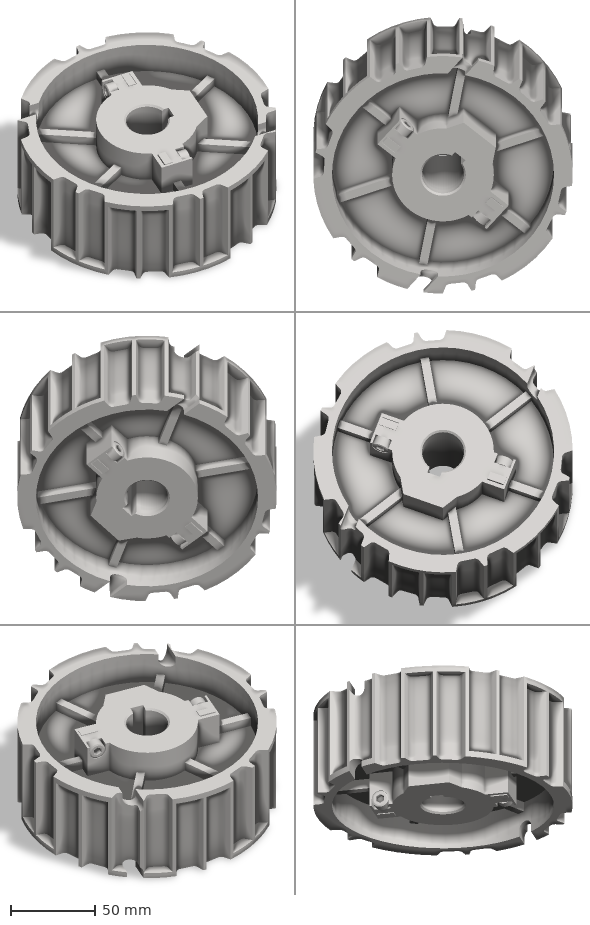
import cadquery as cq
import math


outer_radius = 77.1
rim_inner_radius = 66.0
height = 58.0
web_thickness = 16.0
rib_width = 5.1
rib_height = 6.0
rib_count = 6

hub_radius = 30.2
ear_reach = 42.5
ear_width = 20.0
flat_y = 33.8
flat_half_width = 12.5
flat_flank_angle = 60.0
bore_radius = 12.5
bore_chamfer = 1.1
key_width = 8.0
key_top_y = 15.9

tooth_count = 25
gap_floor_radius = 70.8
gap_floor_half_width = 5.9
gap_leading_half_width = 8.8
gap_trailing_half_width = 8.3
gap_fillet = 3.1
flange_thickness = 3.7
through_gap = 6

screw_x = 36.1
screw_depth = 4.3
head_radius = 5.1
head_length = 6.0
head_chamfer_width = 1.0
head_chamfer_length = 0.5
shank_radius = 3.0
socket_across_flats = 4.8
socket_depth = 3.0
nut_width = 10.2
nut_protrusion = 0.5
nut_thickness = 4.8
nut_inner_y = 2.5
nut_end_clearance = 0.5
access_radius = 4.3

beyond = 7.7
half_height = height / 2
screw_z = half_height - screw_depth
head_outer_y = ear_width / 2
head_inner_y = head_outer_y - head_length
nut_outer_y = nut_inner_y + nut_thickness
nut_height = 2 * (screw_depth + nut_protrusion)
access_inner_y = rim_inner_radius - 2 * beyond
tooth_pitch = 360.0 / tooth_count


def box(x_range, y_range, z_range):
    """Box between the given limits along each axis."""
    sizes = [high - low for low, high in (x_range, y_range, z_range)]
    corner = (x_range[0], y_range[0], z_range[0])
    return cq.Workplane("XY").box(*sizes, centered=False).translate(corner)


def along_y(radius, y_start, y_end):
    """Cylinder on the screw axis, between two Y positions."""
    plane = cq.Workplane("XZ", origin=(-screw_x, y_start, screw_z))
    return plane.circle(radius).extrude(y_start - y_end)


def channel(radius, y_start, y_end):
    """U-shaped cutter with its round bottom on the screw axis, open upwards."""
    sides = box(
        (-screw_x - radius, -screw_x + radius),
        (y_start, y_end),
        (screw_z, half_height + beyond),
    )
    return along_y(radius, y_start, y_end).union(sides)


def four_places(shape):
    """The shape at the upper -X place, and its copies below and on the +X ear."""
    places = []
    for copy in (shape, shape.mirror("XY")):
        places.append(copy)
        places.append(copy.rotate((0, 0, 0), (0, 0, 1), 180))
    return places


def disc(radius, thickness):
    """Disc on the wheel axis, centred on Z = 0."""
    return cq.Workplane("XY", origin=(0, 0, -thickness / 2)).circle(radius).extrude(thickness)


def hub_blank():
    """Round hub with a flat-topped bulge on +Y and an ear on each side."""
    hub = disc(hub_radius, height)
    ears = cq.Workplane("XY").box(2 * ear_reach, ear_width, height)
    flank_run = flat_y / math.tan(math.radians(flat_flank_angle))
    bulge_base = flat_half_width + flank_run
    tilt = math.radians(90 - flat_flank_angle)
    flank_distance = bulge_base * math.cos(tilt)
    meeting_angle = tilt + math.acos(flank_distance / hub_radius)
    meeting_x = hub_radius * math.cos(meeting_angle)
    meeting_y = hub_radius * math.sin(meeting_angle)
    bulge = (
        cq.Workplane("XY", origin=(0, 0, -half_height))
        .polyline([
            (-meeting_x, meeting_y),
            (-flat_half_width, flat_y),
            (flat_half_width, flat_y),
            (meeting_x, meeting_y),
            (0, 0),
        ])
        .close()
        .extrude(height)
    )
    return hub.union(ears).union(bulge)


def wheel_blank():
    """Rim, web, radial ribs and hub before any cuts."""
    recess = disc(rim_inner_radius, height).cut(disc(rim_inner_radius, web_thickness))
    wheel = disc(outer_radius, height).cut(recess).union(hub_blank())
    rib_top = web_thickness / 2 + rib_height
    for index in range(rib_count):
        rib = box((0, gap_floor_radius), (-rib_width / 2, rib_width / 2), (-rib_top, rib_top))
        wheel = wheel.union(rib.rotate((0, 0, 0), (0, 0, 1), index * 360.0 / rib_count))
    return wheel


def bore_cutter():
    """Chamfered bore with a keyway on +Y."""
    bore = disc(bore_radius, height)
    mouth_radius = bore_radius + bore_chamfer
    for sign in (1, -1):
        hub_face = cq.Vector(0, 0, sign * half_height)
        inwards = cq.Vector(0, 0, -sign)
        mouth = cq.Solid.makeCone(mouth_radius, bore_radius, bore_chamfer, hub_face, inwards)
        bore = bore.union(cq.Workplane(mouth))
    keyway = box((-key_width / 2, key_width / 2), (0, key_top_y), (-half_height, half_height))
    return bore.union(keyway)


def gap_cutter(z_bottom, z_top):
    """Tooth gap pointing along +X, with rounded floor corners and unequal flanks."""
    depth = math.sqrt(outer_radius**2 - gap_leading_half_width**2) - gap_floor_radius
    stretch = 1 + beyond / depth
    leading_end = gap_floor_half_width + (gap_leading_half_width - gap_floor_half_width) * stretch
    trailing_end = gap_floor_half_width + (gap_trailing_half_width - gap_floor_half_width) * stretch
    end_x = gap_floor_radius + depth * stretch
    return (
        cq.Workplane("XY", origin=(0, 0, z_bottom))
        .polyline([
            (gap_floor_radius, -gap_floor_half_width),
            (end_x, -trailing_end),
            (end_x, leading_end),
            (gap_floor_radius, gap_floor_half_width),
        ])
        .close()
        .extrude(z_top - z_bottom)
        .edges("|Z and <X")
        .fillet(gap_fillet)
    )


def cut_tooth_gaps(wheel):
    """Pairs of gaps open at the top alternate with pairs open at the bottom.

    The first pair lies either side of the +X axis.
    """
    for index in range(tooth_count):
        pair = index // 2 if index < through_gap else (index - 1) // 2
        upper_pair = pair % 2 == 0
        opens_up = upper_pair or index == through_gap
        opens_down = not upper_pair or index == through_gap
        z_bottom = -half_height if opens_down else -half_height + flange_thickness
        z_top = half_height if opens_up else half_height - flange_thickness
        angle = (index - 0.5) * tooth_pitch
        wheel = wheel.cut(gap_cutter(z_bottom, z_top).rotate((0, 0, 0), (0, 0, 1), angle))
    return wheel


def nut_block(y_outer):
    """Square-sided block around the screw axis, from the nut's inner face outwards."""
    return box(
        (-screw_x - nut_width / 2, -screw_x + nut_width / 2),
        (nut_inner_y, y_outer),
        (screw_z - nut_height / 2, screw_z + nut_height / 2),
    )


def make_housing():
    """The sprocket wheel with its bore, tooth gaps and screw seats."""
    housing = cut_tooth_gaps(wheel_blank().cut(bore_cutter()))
    head_seat = channel(head_radius, -head_outer_y, -head_inner_y)
    shank_hole = along_y(shank_radius, -head_inner_y, nut_outer_y)
    nut_seat = nut_block(nut_outer_y + nut_end_clearance)
    rim_access = channel(access_radius, -outer_radius, -access_inner_y)
    for cutter in (head_seat, shank_hole, nut_seat, rim_access):
        for placed in four_places(cutter):
            housing = housing.cut(placed)
    return housing


def make_screw():
    """Socket head screw with its head towards -Y."""
    head = along_y(head_radius, -head_outer_y, -head_inner_y)
    head = head.faces("<Y").chamfer(head_chamfer_length, head_chamfer_width)
    shank = along_y(shank_radius, -head_inner_y, nut_outer_y)
    socket = (
        cq.Workplane("XZ", origin=(-screw_x, -head_outer_y, screw_z))
        .polygon(6, socket_across_flats, circumscribed=True)
        .extrude(-socket_depth)
    )
    return head.union(shank).cut(socket)


def make_nut():
    """Square nut around the end of the shank."""
    return nut_block(nut_outer_y).cut(along_y(shank_radius, nut_inner_y, nut_outer_y))


housing = make_housing()
screws = four_places(make_screw())
nuts = four_places(make_nut())

result = cq.Compound.makeCompound(
    [housing.val()] + [screw.val() for screw in screws] + [nut.val() for nut in nuts]
)